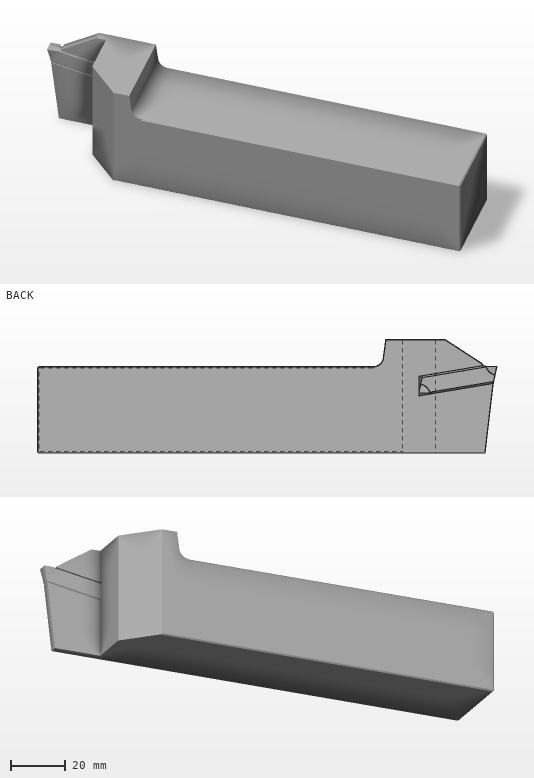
import cadquery as cq
import math

total_length = 170.0
body_width = 31.8
shank_height = 32.0
head_height = 42.0
edge_chamfer = 0.5
head_face_x = 22.8
head_corner = 12.2
head_back_x = 41.1
head_foot_x = 42.5
head_fillet = 3.7

blade_thickness = 3.2
blade_y = body_width - blade_thickness
blade_foot_x = 4.5
blade_lip_x = 1.4
blade_lip_z = 26.0
upper_jaw_x = 5.6
upper_jaw_z = 33.1
blade_top_x = 19.2

insert_tilt = 9.5
insert_height = 7.1
insert_center_x = 14.5
insert_center_z = 27.2
insert_bevel = 0.7
cutting_edge_z = 32.1
rake_length = 4.0
tip_depth = 3.2
arch_x = 3.0
arch_depth = 1.9
tip_width = 4.2
tip_relief = 7.0
pocket_floor_y = 27.5

insert_mid_y = blade_y + blade_thickness / 2
tilt_slope = math.tan(math.radians(insert_tilt))
head_front_end_x = head_face_x + head_corner
head_lean = math.atan((head_foot_x - head_back_x) / (head_height - shank_height))
fillet_end_x = head_foot_x + head_fillet * math.tan((math.pi / 2 - head_lean) / 2)
half_rise = insert_height / 2 / math.cos(math.radians(insert_tilt))


def side_plane(y):
    """XZ plane at the given y, with X to the right and Z up."""
    return cq.Workplane(cq.Plane((0, y, 0), xDir=(1, 0, 0), normal=(0, -1, 0)))


def extrude_side(sketch, depth):
    """Extrude a side_plane sketch toward +Y."""
    return sketch.extrude(-depth)


def seam_z(x, side):
    """Height of the insert's upper (side=1) or lower (side=-1) seam at x."""
    return insert_center_z - (x - insert_center_x) * tilt_slope + side * half_rise


def opposite(point):
    """Point after a half turn about the insert centre."""
    return (2 * insert_center_x - point[0], 2 * insert_center_z - point[1])


def make_pocket():
    """Inclined slot from the blade's front to the far end of the insert."""
    front_x = -1.7
    back_x = 2 * insert_center_x
    outline = [
        (front_x, seam_z(front_x, -1)),
        (back_x, seam_z(back_x, -1)),
        (back_x, seam_z(back_x, 1)),
        (front_x, seam_z(front_x, 1)),
    ]
    return extrude_side(side_plane(pocket_floor_y).polyline(outline).close(), body_width - pocket_floor_y)


def make_edge_cutter(start_x, edge_z, inward):
    """Wedge that breaks a long front edge from start_x on; inward is the Z direction into the shank."""
    corner = [(0, edge_z), (edge_chamfer, edge_z), (0, edge_z + inward * edge_chamfer)]
    return cq.Workplane("YZ", origin=(start_x, 0, 0)).polyline(corner).close().extrude(total_length - start_x)


def make_holder():
    side_outline = [
        (blade_foot_x, 0),
        (total_length, 0),
        (total_length, shank_height),
        (head_foot_x, shank_height),
        (head_back_x, head_height),
        (blade_top_x, head_height),
        (upper_jaw_x, upper_jaw_z),
        (blade_lip_x, blade_lip_z),
    ]
    holder = extrude_side(side_plane(0).polyline(side_outline).close(), body_width)
    foot_edge = cq.selectors.NearestToPointSelector((head_foot_x, body_width / 2, shank_height))
    holder = holder.edges(foot_edge).fillet(head_fillet)

    plan_outline = [
        (0, blade_y),
        (head_face_x, blade_y),
        (head_face_x, head_corner),
        (head_front_end_x, 0),
        (total_length, 0),
        (total_length, body_width),
        (0, body_width),
    ]
    plan = cq.Workplane("XY").polyline(plan_outline).close().extrude(head_height)
    holder = holder.intersect(plan)

    holder = holder.cut(make_edge_cutter(fillet_end_x, shank_height, -1))
    holder = holder.cut(make_edge_cutter(head_front_end_x, 0, 1))
    holder = holder.faces(">X").edges("not(>Y)").chamfer(edge_chamfer)
    return holder.cut(make_pocket())


def make_tip():
    """Wide cutting tip with a flat rake face and an arched underside, narrowing below the rake."""
    front_slope = blade_lip_x / (cutting_edge_z - blade_lip_z)
    heel = (front_slope * tip_depth, cutting_edge_z - tip_depth)
    arch = (arch_x, cutting_edge_z - arch_depth)
    sketch = (
        side_plane(insert_mid_y - tip_width / 2)
        .moveTo(0, cutting_edge_z)
        .lineTo(rake_length, cutting_edge_z)
        .threePointArc(arch, heel)
        .close()
    )
    arched_block = extrude_side(sketch, tip_width)
    relieved_block = (
        cq.Workplane("XY", origin=(rake_length / 2, insert_mid_y, cutting_edge_z))
        .rect(rake_length, tip_width)
        .extrude(-tip_depth, taper=tip_relief)
    )
    return arched_block.intersect(relieved_block)


def make_insert():
    half_outline = [
        (blade_lip_x, seam_z(blade_lip_x, -1)),
        (0, cutting_edge_z),
        (rake_length, cutting_edge_z),
        (upper_jaw_x, seam_z(upper_jaw_x, 1)),
    ]
    outline = half_outline + [opposite(point) for point in half_outline]
    bar = extrude_side(side_plane(blade_y).polyline(outline).close(), blade_thickness)

    for y in (blade_y, blade_y + blade_thickness):
        for side in (-1, 1):
            seam_point = (insert_center_x, y, seam_z(insert_center_x, side))
            bar = bar.edges(cq.selectors.NearestToPointSelector(seam_point)).chamfer(insert_bevel)

    front_tip = make_tip()
    axis_start = (insert_center_x, 0, insert_center_z)
    axis_end = (insert_center_x, 1, insert_center_z)
    back_tip = front_tip.rotate(axis_start, axis_end, 180)
    return bar.union(front_tip).union(back_tip)


holder = make_holder()
insert = make_insert()
result = cq.Compound.makeCompound([holder.val(), insert.val()])